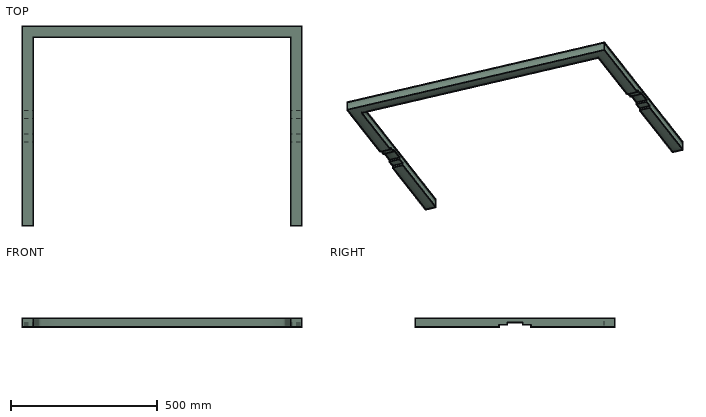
import cadquery as cq

frame_width = 952.0
frame_depth = 680.0
frame_height = 30.0
bar_width = 38.0

outer_step_length = 108.0
outer_step_depth = 8.0
inner_step_length = 52.0
inner_step_depth = 15.0


def centered_block(width, length, height):
    """Block centered in X and Y, standing on the base plane."""
    return cq.Workplane("XY").box(width, length, height, centered=(True, True, False))


frame = centered_block(frame_width, frame_depth, frame_height)
opening = centered_block(frame_width - 2 * bar_width, frame_depth, frame_height)
result = frame.cut(opening.translate((0, -bar_width, 0)))

for step_length, step_depth in (
    (outer_step_length, outer_step_depth),
    (inner_step_length, inner_step_depth),
):
    result = result.cut(centered_block(frame_width, step_length, step_depth))